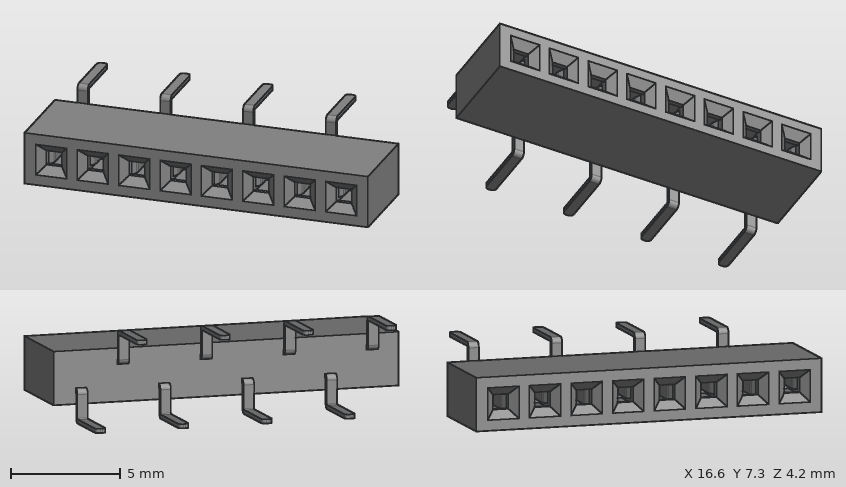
import cadquery as cq

PITCH = 2.0
POSITIONS = 8
END_MARGIN = 0.3
BODY_LENGTH = POSITIONS * PITCH + 2 * END_MARGIN
BODY_DEPTH = 4.3
BODY_HEIGHT = 2.5

MOUTH_SIZE = 1.5
THROAT_WIDTH = 0.75
THROAT_HEIGHT = 0.7
FUNNEL_DEPTH = 0.4
THROAT_DEPTH = 0.2
POCKET_HEIGHT = 0.9
POCKET_DEPTH = 1.5

ARM_ENTRY_GAP = 0.48
ARM_TIGHT_GAP = 0.4
ARM_SETBACK = 0.15
ARM_LEAD_IN = 0.25
ARM_TAPER = 0.15
ARM_EDGE = 0.27

PIN_WIDTH = 0.5
PIN_THICKNESS = 0.2
PIN_REACH = 3.0
TIP_RADIUS = 0.2
PIN_SPAN = 4.2
PIN_GAP = 0.075
ROOT_EDGE = 0.5
INNER_BEND = 0.05
OUTER_BEND = INNER_BEND + PIN_THICKNESS
ROOT_EMBED = 0.2


def make_body():
    return cq.Workplane("XY").box(BODY_LENGTH, BODY_DEPTH, BODY_HEIGHT).translate((0, BODY_DEPTH / 2, 0))


def tapered_cavity(start, depth, front_size, back_size):
    """Rectangular cavity running toward +Y from y = start, blending between two (x, z) sizes."""
    return (
        cq.Workplane("XZ", origin=(0, start, 0))
        .rect(*front_size)
        .workplane(offset=-depth)
        .rect(*back_size)
        .loft(ruled=True)
    )


def make_arm():
    """Contact arm on the +X pocket wall, standing on the pocket floor and stopping short of its ceiling."""
    pocket_start = FUNNEL_DEPTH + THROAT_DEPTH
    arm_start = pocket_start + ARM_SETBACK
    arm_end = pocket_start + POCKET_DEPTH
    taper_start = arm_start + ARM_LEAD_IN
    wall = THROAT_WIDTH / 2
    floor = -POCKET_HEIGHT / 2
    return (
        cq.Workplane("XY", origin=(0, 0, floor))
        .moveTo(wall, arm_start)
        .lineTo(ARM_ENTRY_GAP / 2, taper_start)
        .lineTo(ARM_TIGHT_GAP / 2, taper_start + ARM_TAPER)
        .lineTo(ARM_TIGHT_GAP / 2, arm_end)
        .lineTo(wall, arm_end)
        .close()
        .extrude(ARM_EDGE - floor)
    )


def make_socket():
    """Cavity for a position whose pin bends upward."""
    mouth = (MOUTH_SIZE, MOUTH_SIZE)
    throat = (THROAT_WIDTH, THROAT_HEIGHT)
    pocket = (THROAT_WIDTH, POCKET_HEIGHT)
    pocket_start = FUNNEL_DEPTH + THROAT_DEPTH
    arm = make_arm()
    contact_space = tapered_cavity(pocket_start, POCKET_DEPTH, pocket, pocket).cut(arm).cut(arm.mirror("YZ"))
    return (
        tapered_cavity(0, FUNNEL_DEPTH, mouth, throat)
        .union(tapered_cavity(FUNNEL_DEPTH, THROAT_DEPTH, throat, throat))
        .union(contact_space)
    )


def make_upper_pin():
    leg_front = BODY_DEPTH + PIN_GAP
    leg_rear = leg_front + PIN_THICKNESS
    root_front = BODY_DEPTH - ROOT_EMBED
    root_top = ROOT_EDGE + PIN_THICKNESS
    tip = BODY_DEPTH + PIN_REACH
    top = PIN_SPAN / 2
    underside = top - PIN_THICKNESS
    pin = (
        cq.Workplane("YZ")
        .moveTo(root_front, ROOT_EDGE)
        .lineTo(leg_rear - OUTER_BEND, ROOT_EDGE)
        .radiusArc((leg_rear, ROOT_EDGE + OUTER_BEND), -OUTER_BEND)
        .lineTo(leg_rear, underside - INNER_BEND)
        .radiusArc((leg_rear + INNER_BEND, underside), INNER_BEND)
        .lineTo(tip, underside)
        .lineTo(tip, top)
        .lineTo(leg_front + OUTER_BEND, top)
        .radiusArc((leg_front, top - OUTER_BEND), -OUTER_BEND)
        .lineTo(leg_front, root_top + INNER_BEND)
        .radiusArc((leg_front - INNER_BEND, root_top), INNER_BEND)
        .lineTo(root_front, root_top)
        .close()
        .extrude(PIN_WIDTH / 2, both=True)
    )
    return pin.intersect(make_round_tip_envelope(root_front, tip))


def make_round_tip_envelope(start, tip):
    """Plan shape of a pin: a straight strip with rounded tip corners."""
    length = tip - start
    return (
        cq.Workplane("XY", origin=(0, start + length / 2, 0))
        .box(PIN_WIDTH, length, PIN_SPAN)
        .edges("|Z and >Y")
        .fillet(TIP_RADIUS)
    )


def make_connector():
    connector = make_body()
    upper_socket = make_socket()
    lower_socket = upper_socket.mirror("XY")
    upper_pin = make_upper_pin()
    lower_pin = upper_pin.mirror("XY")
    for index in range(POSITIONS):
        x = (index - (POSITIONS - 1) / 2) * PITCH
        bends_up = index % 2 == 0
        socket = upper_socket if bends_up else lower_socket
        pin = upper_pin if bends_up else lower_pin
        connector = connector.cut(socket.translate((x, 0, 0)))
        connector = connector.union(pin.translate((x, 0, 0)))
    return connector


result = make_connector()